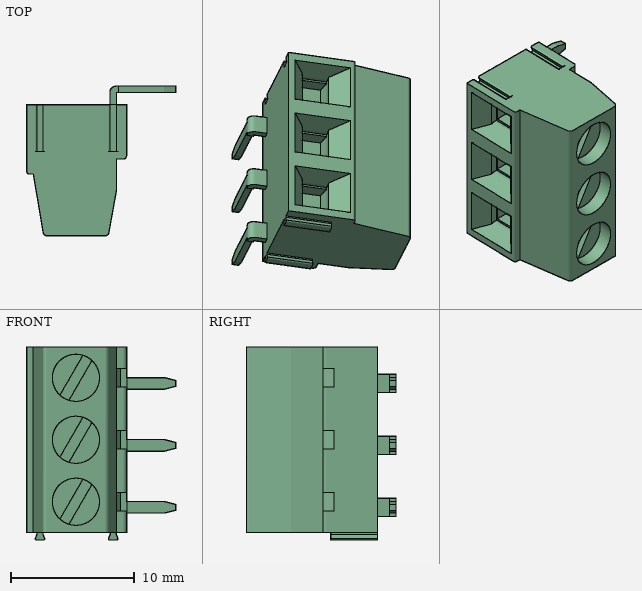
import cadquery as cq

POLE_COUNT = 3
BODY_HEIGHT = 15.0
BODY_WIDTH = 8.08
BODY_DEPTH = 10.61
POLE_PITCH = BODY_HEIGHT / POLE_COUNT
POLE_HEIGHTS = [POLE_PITCH * (i + 0.5) for i in range(POLE_COUNT)]

LEFT_STEP_X = 0.53
LEFT_STEP_Y = 4.99
RIGHT_STEP_X = 7.25
RIGHT_STEP_Y = 6.2
RIGHT_TAPER_Y = 3.65
FRONT_LEFT_X = 1.37
FRONT_RIGHT_X = 6.6
FRONT_RADIUS = 0.33
LEFT_LEDGE_RADIUS = 0.22
RIGHT_LEDGE_RADIUS = 0.3

RAIL_CENTRES = (1.08, 6.99)
RAIL_LENGTH = 3.79
RAIL_NECK = 0.5
RAIL_TIP = 0.78
TOTAL_HEIGHT = 15.6
RAIL_HEIGHT = TOTAL_HEIGHT - BODY_HEIGHT
RAIL_EDGE = 0.12

SCREW_X = 3.98
SCREW_DIAMETER = 3.8
SCREW_RECESS = 1.2
SLOT_WIDTH = 0.85
SLOT_DEPTH = 0.6
SLOT_ANGLE = 60

ENTRY_FRONT_Y = 5.45
ENTRY_BACK_Y = 10.05
ENTRY_HEIGHT = 3.68
THROAT_FRONT_Y = 6.91
THROAT_BACK_Y = 9.1
THROAT_HEIGHT = 2.8
FUNNEL_DEPTH = 1.31
SLOPE_DEPTH = 1.62
THROAT_DEPTH = 1.9
CLAMP_FRONT_Y = 7.15
CLAMP_BACK_Y = 9.03
CLAMP_HEIGHT = 2.46
CLAMP_DEPTH = 3.0

NOTCH_HEIGHT = 1.47
NOTCH_RAMP = 0.33
NOTCH_DEPTH = 0.87

PIN_THICKNESS = 0.55
PIN_LEG_X = 6.71
PIN_REACH_X = 12.05
PIN_BACK_Y = 12.1
PIN_LEG_HEIGHT = 1.5
PIN_FOOT_X = 7.43
PIN_HEIGHT = 0.95
PIN_TIP_HEIGHT = 0.48
PIN_TIP_LENGTH = 0.92
PIN_BEND_RADIUS = 0.53
PIN_DROP = 0.45


def make_housing():
    outline = [
        (0, BODY_DEPTH),
        (0, LEFT_STEP_Y),
        (LEFT_STEP_X, LEFT_STEP_Y),
        (FRONT_LEFT_X, 0),
        (FRONT_RIGHT_X, 0),
        (RIGHT_STEP_X, RIGHT_TAPER_Y),
        (RIGHT_STEP_X, RIGHT_STEP_Y),
        (BODY_WIDTH, RIGHT_STEP_Y),
        (BODY_WIDTH, BODY_DEPTH),
    ]
    housing = cq.Workplane("XY").polyline(outline).close().extrude(BODY_HEIGHT)
    rounded_corners = [
        (FRONT_LEFT_X, 0, FRONT_RADIUS),
        (FRONT_RIGHT_X, 0, FRONT_RADIUS),
        (0, LEFT_STEP_Y, LEFT_LEDGE_RADIUS),
        (BODY_WIDTH, RIGHT_STEP_Y, RIGHT_LEDGE_RADIUS),
    ]
    for x, y, radius in rounded_corners:
        corner = cq.selectors.NearestToPointSelector((x, y, BODY_HEIGHT / 2))
        housing = housing.edges("|Z").edges(corner).fillet(radius)
    return housing


def back_plane(x, z):
    """XZ sketch plane on the back face; extruding runs towards the front."""
    return cq.Workplane("XZ", origin=(x, BODY_DEPTH, z))


def make_rail(x):
    """Dovetail rail hanging below the bottom face, with rounded tip edges."""
    neck, tip = RAIL_NECK / 2, RAIL_TIP / 2
    shoulder = RAIL_HEIGHT - RAIL_EDGE
    return (
        back_plane(x, 0)
        .moveTo(-neck, 0)
        .lineTo(-neck, -RAIL_EDGE)
        .lineTo(-tip, -shoulder)
        .radiusArc((RAIL_EDGE - tip, -RAIL_HEIGHT), -RAIL_EDGE)
        .lineTo(tip - RAIL_EDGE, -RAIL_HEIGHT)
        .radiusArc((tip, -shoulder), -RAIL_EDGE)
        .lineTo(neck, -RAIL_EDGE)
        .lineTo(neck, 0)
        .close()
        .extrude(RAIL_LENGTH)
    )


def make_groove(x):
    """Undercut groove below the top face: rounded lips over a flared, rounded base."""
    neck, tip = RAIL_NECK / 2, RAIL_TIP / 2
    mouth = neck + RAIL_EDGE
    shoulder = RAIL_HEIGHT - RAIL_EDGE
    return (
        back_plane(x, BODY_HEIGHT)
        .moveTo(-mouth, 0)
        .radiusArc((-neck, -RAIL_EDGE), RAIL_EDGE)
        .lineTo(-tip, -shoulder)
        .radiusArc((RAIL_EDGE - tip, -RAIL_HEIGHT), -RAIL_EDGE)
        .lineTo(tip - RAIL_EDGE, -RAIL_HEIGHT)
        .radiusArc((tip, -shoulder), -RAIL_EDGE)
        .lineTo(neck, -RAIL_EDGE)
        .radiusArc((mouth, 0), RAIL_EDGE)
        .close()
        .extrude(RAIL_LENGTH)
    )


def make_screw_recess(z):
    """Round recess down to the screw head, plus the slot across the head."""
    recess = (
        cq.Workplane("XZ", origin=(SCREW_X, 0, z))
        .circle(SCREW_DIAMETER / 2)
        .extrude(-SCREW_RECESS)
    )
    slot = (
        cq.Workplane("XZ", origin=(SCREW_X, SCREW_RECESS, z))
        .transformed(rotate=(0, 0, SLOT_ANGLE))
        .rect(SCREW_DIAMETER, SLOT_WIDTH)
        .extrude(-SLOT_DEPTH)
    )
    head = (
        cq.Workplane("XZ", origin=(SCREW_X, SCREW_RECESS, z))
        .circle(SCREW_DIAMETER / 2)
        .extrude(-SLOT_DEPTH)
    )
    return recess.union(slot.intersect(head))


def make_wire_entry(z):
    """Funnel, throat and clamp chamber of one wire entry."""
    side_profile = [
        (0, ENTRY_FRONT_Y),
        (FUNNEL_DEPTH, THROAT_FRONT_Y),
        (THROAT_DEPTH, THROAT_FRONT_Y),
        (THROAT_DEPTH, THROAT_BACK_Y),
        (FUNNEL_DEPTH, THROAT_BACK_Y),
        (0, ENTRY_BACK_Y),
    ]
    sides = (
        cq.Workplane("XY", origin=(0, 0, z))
        .polyline(side_profile)
        .close()
        .extrude(ENTRY_HEIGHT / 2, both=True)
    )
    floor_profile = [
        (0, -ENTRY_HEIGHT / 2),
        (SLOPE_DEPTH, -THROAT_HEIGHT / 2),
        (THROAT_DEPTH, -THROAT_HEIGHT / 2),
        (THROAT_DEPTH, THROAT_HEIGHT / 2),
        (SLOPE_DEPTH, THROAT_HEIGHT / 2),
        (0, ENTRY_HEIGHT / 2),
    ]
    floor_and_roof = (
        cq.Workplane("XZ", origin=(0, 0, z))
        .polyline(floor_profile)
        .close()
        .extrude(-BODY_DEPTH)
    )
    clamp_profile = [
        (THROAT_DEPTH, THROAT_FRONT_Y),
        (CLAMP_DEPTH, CLAMP_FRONT_Y),
        (CLAMP_DEPTH, CLAMP_BACK_Y),
        (THROAT_DEPTH, CLAMP_BACK_Y),
    ]
    clamp = (
        cq.Workplane("XY", origin=(0, 0, z))
        .polyline(clamp_profile)
        .close()
        .extrude(CLAMP_HEIGHT / 2, both=True)
    )
    return sides.intersect(floor_and_roof).union(clamp)


def make_notch(z):
    """Notch in the front of the pin-side ledge, with a ramp by the side wall."""
    floor_y = RIGHT_STEP_Y + NOTCH_DEPTH
    profile = [
        (RIGHT_STEP_X, RIGHT_STEP_Y),
        (RIGHT_STEP_X + NOTCH_RAMP, floor_y),
        (BODY_WIDTH, floor_y),
        (BODY_WIDTH, RIGHT_STEP_Y),
    ]
    return (
        cq.Workplane("XY", origin=(0, 0, z))
        .polyline(profile)
        .close()
        .extrude(NOTCH_HEIGHT / 2, both=True)
    )


def make_pin(z):
    """Bent pin: a wide leg out of the back face and a narrow tapered blade."""
    bend_inner_x = PIN_LEG_X + PIN_THICKNESS
    bend_inner_y = PIN_BACK_Y - PIN_THICKNESS
    leg = (
        cq.Workplane("XY", origin=(0, 0, z))
        .moveTo(PIN_LEG_X, BODY_DEPTH)
        .lineTo(PIN_LEG_X, PIN_BACK_Y - PIN_BEND_RADIUS)
        .radiusArc((PIN_LEG_X + PIN_BEND_RADIUS, PIN_BACK_Y), PIN_BEND_RADIUS)
        .lineTo(PIN_FOOT_X, PIN_BACK_Y)
        .lineTo(PIN_FOOT_X, bend_inner_y)
        .lineTo(bend_inner_x, bend_inner_y)
        .lineTo(bend_inner_x, BODY_DEPTH)
        .close()
        .extrude(PIN_LEG_HEIGHT / 2, both=True)
    )
    taper_x = PIN_REACH_X - PIN_TIP_LENGTH
    blade_profile = [
        (PIN_FOOT_X, -PIN_HEIGHT / 2),
        (taper_x, -PIN_HEIGHT / 2),
        (PIN_REACH_X, -PIN_TIP_HEIGHT / 2),
        (PIN_REACH_X, PIN_TIP_HEIGHT / 2),
        (taper_x, PIN_HEIGHT / 2),
        (PIN_FOOT_X, PIN_HEIGHT / 2),
    ]
    blade = (
        cq.Workplane("XZ", origin=(0, PIN_BACK_Y, z))
        .polyline(blade_profile)
        .close()
        .extrude(PIN_THICKNESS)
    )
    return leg.union(blade)


result = make_housing()
for rail_x in RAIL_CENTRES:
    result = result.cut(make_groove(rail_x))
    result = result.union(make_rail(rail_x))
for pole_z in POLE_HEIGHTS:
    result = result.cut(make_screw_recess(pole_z))
    result = result.cut(make_wire_entry(pole_z))
    result = result.cut(make_notch(pole_z))
    result = result.union(make_pin(pole_z - PIN_DROP))